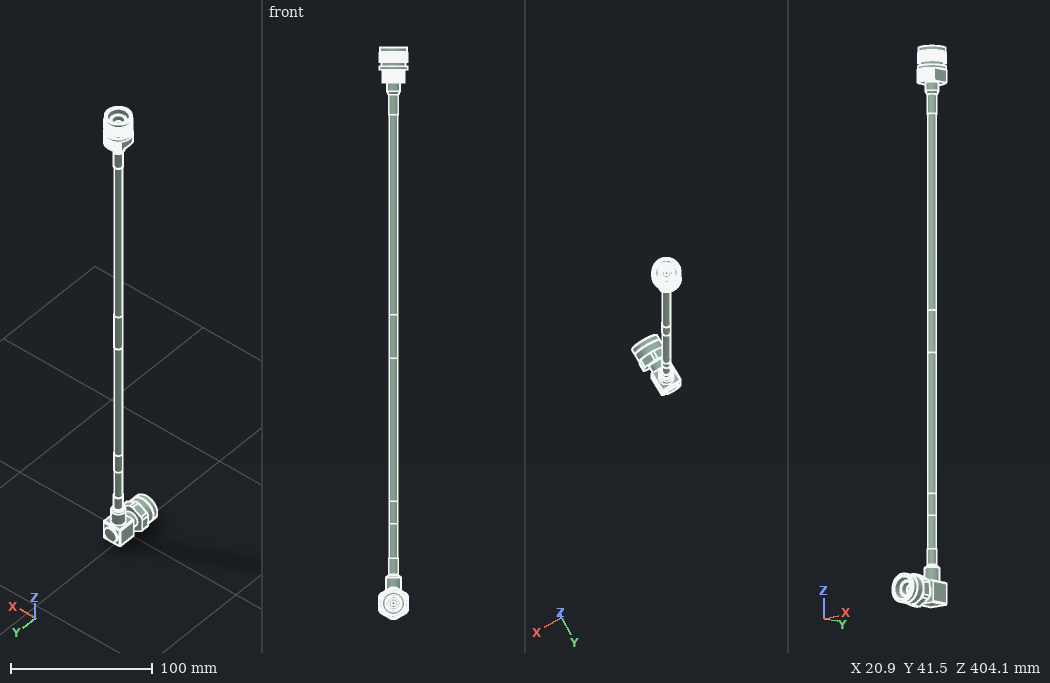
import cadquery as cq


CABLE_RADIUS = 3.07
CABLE_BOTTOM = 20.6
CABLE_TOP = 359.2
SHRINK_RADIUS = 3.5
LOWER_SHRINK_TOP = 31.9
UPPER_SHRINK_BOTTOM = 345.2
BAND_RADIUS = 3.15
LONG_BAND_BOTTOM = 173.2
LONG_BAND_TOP = 203.7
SHORT_BAND_BOTTOM = 56.1
SHORT_BAND_TOP = 71.9

BARREL_RADIUS = 5.9
SOCKET_RADIUS = 4.7
SOCKET_DEPTH = 6.0
INSULATOR_RADIUS = 3.2
INSULATOR_HEIGHT = 2.0
PIN_RADIUS = 1.5
PIN_LENGTH = 4.0
BARREL_SETBACK = 4.0
MATING_RADIUS = 8.0
MOUTH_CHAMFER = 0.7

HEX_ACROSS_FLATS = 20.92
HEX_CORNER_RADIUS = 11.42
NUT_REAR = -14.0
HEX_FRONT = -20.4
NUT_GRIP_RADIUS = 10.3
NUT_GROOVE_Y = -26.3
NUT_GROOVE_DEPTH = 0.2
NUT_EDGE_CHAMFER = 0.5

BLOCK_WIDTH = 15.9
BLOCK_BACK = 7.6
BLOCK_FRONT = -BLOCK_BACK
BLOCK_CHAMFER = 0.8
CAP_RADIUS = 5.8
CAP_THICKNESS = 1.3
TUBE_RADIUS = 5.35
TUBE_TOP = 19.4
TUBE_CHAMFER = 1.2

FERRULE_RADIUS = 4.7
FERRULE_TAPER = 2.4
WRENCH_RING_BOTTOM = 367.6
WRENCH_RING_RADIUS = 10.46
WRENCH_RING_CHAMFER = 0.9
WRENCH_FLAT_WIDTH = 16.2
FLANGE_BOTTOM = 376.7
FLANGE_RADIUS = 10.2
FLANGE_TOP = 379.2
WAIST_RADIUS = 8.6
GRIP_BOTTOM = 382.3
GRIP_TOP = 388.7
GRIP_RADIUS = 10.2
RIM_GROOVE_RADIUS = 9.3
RIM_GROOVE_WIDTH = 0.9
RIM_RADIUS = 9.7

OVERALL_LENGTH = 404.14
RIM_TOP = OVERALL_LENGTH - HEX_CORNER_RADIUS
OVERALL_DEPTH = 41.53
NUT_FRONT = WRENCH_RING_RADIUS - OVERALL_DEPTH

KNURL_COUNT = 36
KNURL_DEPTH = 0.5


def rod(radius, bottom, top):
    """Upright cylinder on the Z axis."""
    return cq.Workplane("XY").workplane(offset=bottom).circle(radius).extrude(top - bottom)


def rod_y(radius, start, end):
    """Cylinder on the Y axis, from start towards -Y to end."""
    return cq.Workplane("XZ", origin=(0, start, 0)).circle(radius).extrude(start - end)


def sleeve(radius, bottom, top):
    """Tube that fits around the cable."""
    return rod(radius, bottom, top).cut(rod(CABLE_RADIUS, bottom, top))


def knurl(radius, bottom, top):
    """Evenly spaced V grooves around an upright cylinder, none of them on the X axis."""
    half_pitch = 180 / KNURL_COUNT
    return (
        cq.Workplane("XY")
        .workplane(offset=bottom)
        .polarArray(radius, half_pitch, 360, KNURL_COUNT)
        .polygon(4, 2 * KNURL_DEPTH)
        .extrude(top - bottom)
    )


def contact_socket():
    """Socket around an insulator and its centre pin, as a cutter that opens upward at Z = 0."""
    socket = rod(SOCKET_RADIUS, -SOCKET_DEPTH, 0)
    insulator = rod(INSULATOR_RADIUS, -SOCKET_DEPTH, INSULATOR_HEIGHT - SOCKET_DEPTH)
    return socket.cut(insulator).cut(rod(PIN_RADIUS, -SOCKET_DEPTH, PIN_LENGTH - SOCKET_DEPTH))


def make_straight_connector():
    taper_top = CABLE_TOP + FERRULE_TAPER
    rim_groove_top = GRIP_TOP + RIM_GROOVE_WIDTH
    profile = [
        (0, CABLE_TOP),
        (SHRINK_RADIUS, CABLE_TOP),
        (FERRULE_RADIUS, taper_top),
        (FERRULE_RADIUS, WRENCH_RING_BOTTOM),
        (WRENCH_RING_RADIUS - WRENCH_RING_CHAMFER, WRENCH_RING_BOTTOM),
        (WRENCH_RING_RADIUS, WRENCH_RING_BOTTOM + WRENCH_RING_CHAMFER),
        (WRENCH_RING_RADIUS, FLANGE_BOTTOM),
        (FLANGE_RADIUS, FLANGE_BOTTOM),
        (FLANGE_RADIUS, FLANGE_TOP),
        (WAIST_RADIUS, FLANGE_TOP),
        (WAIST_RADIUS, GRIP_BOTTOM),
        (GRIP_RADIUS, GRIP_BOTTOM),
        (GRIP_RADIUS, GRIP_TOP),
        (RIM_GROOVE_RADIUS, GRIP_TOP),
        (RIM_GROOVE_RADIUS, rim_groove_top),
        (RIM_RADIUS, rim_groove_top),
        (RIM_RADIUS, RIM_TOP),
        (MATING_RADIUS + MOUTH_CHAMFER, RIM_TOP),
        (MATING_RADIUS, RIM_TOP - MOUTH_CHAMFER),
        (MATING_RADIUS, GRIP_BOTTOM),
        (BARREL_RADIUS, GRIP_BOTTOM),
        (BARREL_RADIUS, RIM_TOP - BARREL_SETBACK),
        (0, RIM_TOP - BARREL_SETBACK),
    ]
    body = cq.Workplane("XZ").polyline(profile).close().revolve(360, (0, 0, 0), (0, 1, 0))
    body = body.cut(contact_socket().translate((0, 0, RIM_TOP - BARREL_SETBACK)))
    body = body.cut(knurl(WRENCH_RING_RADIUS, WRENCH_RING_BOTTOM, FLANGE_BOTTOM))
    body = body.cut(knurl(GRIP_RADIUS, GRIP_BOTTOM, GRIP_TOP))

    ring_height = FLANGE_BOTTOM - WRENCH_RING_BOTTOM
    ring_middle = WRENCH_RING_BOTTOM + ring_height / 2
    ring_diameter = 2 * WRENCH_RING_RADIUS
    flats = (
        cq.Workplane("XY")
        .box(ring_diameter, ring_diameter, ring_height)
        .cut(cq.Workplane("XY").box(WRENCH_FLAT_WIDTH, ring_diameter, ring_height))
        .translate((0, 0, ring_middle))
    )
    return body.cut(flats)


def make_angle_housing():
    depth = BLOCK_BACK - BLOCK_FRONT
    block = (
        cq.Workplane("XY")
        .box(BLOCK_WIDTH, depth, BLOCK_WIDTH)
        .translate((0, (BLOCK_BACK + BLOCK_FRONT) / 2, 0))
        .edges("|Y or >Y")
        .chamfer(BLOCK_CHAMFER)
    )
    cap = rod_y(CAP_RADIUS, BLOCK_BACK + CAP_THICKNESS, BLOCK_BACK)
    tube = rod(TUBE_RADIUS, 0, TUBE_TOP).faces(">Z").chamfer(TUBE_CHAMFER)
    neck = rod(SHRINK_RADIUS, TUBE_TOP, CABLE_BOTTOM)
    barrel_end = NUT_FRONT + BARREL_SETBACK
    barrel = rod_y(BARREL_RADIUS, 0, barrel_end)
    socket = contact_socket().rotate((0, 0, 0), (1, 0, 0), 90).translate((0, barrel_end, 0))
    return block.union(cap).union(tube).union(neck).union(barrel).cut(socket)


def make_coupling_nut():
    hexagon = (
        cq.Workplane("XZ", origin=(0, NUT_REAR, 0))
        .polygon(6, HEX_ACROSS_FLATS, circumscribed=True)
        .extrude(NUT_REAR - HEX_FRONT)
        .intersect(rod_y(HEX_CORNER_RADIUS, NUT_REAR, HEX_FRONT))
    )
    grip = rod_y(NUT_GRIP_RADIUS, HEX_FRONT, NUT_FRONT)
    groove_end = NUT_GROOVE_Y - 2 * NUT_GROOVE_DEPTH
    groove = rod_y(NUT_GRIP_RADIUS, NUT_GROOVE_Y, groove_end).cut(
        rod_y(NUT_GRIP_RADIUS - NUT_GROOVE_DEPTH, NUT_GROOVE_Y, groove_end)
    )
    nut = hexagon.union(grip).cut(groove)
    nut = nut.cut(rod_y(BARREL_RADIUS, NUT_REAR, HEX_FRONT))
    nut = nut.cut(rod_y(MATING_RADIUS, HEX_FRONT, NUT_FRONT))
    return nut.faces("<Y").chamfer(NUT_EDGE_CHAMFER)


cable = rod(CABLE_RADIUS, CABLE_BOTTOM, CABLE_TOP)
lower_shrink = sleeve(SHRINK_RADIUS, CABLE_BOTTOM, LOWER_SHRINK_TOP)
upper_shrink = sleeve(SHRINK_RADIUS, UPPER_SHRINK_BOTTOM, CABLE_TOP)
long_band = sleeve(BAND_RADIUS, LONG_BAND_BOTTOM, LONG_BAND_TOP)
short_band = sleeve(BAND_RADIUS, SHORT_BAND_BOTTOM, SHORT_BAND_TOP)
straight_connector = make_straight_connector()
angle_housing = make_angle_housing()
coupling_nut = make_coupling_nut()

result = cq.Compound.makeCompound(
    [
        cable.val(),
        lower_shrink.val(),
        upper_shrink.val(),
        long_band.val(),
        short_band.val(),
        straight_connector.val(),
        angle_housing.val(),
        coupling_nut.val(),
    ]
)